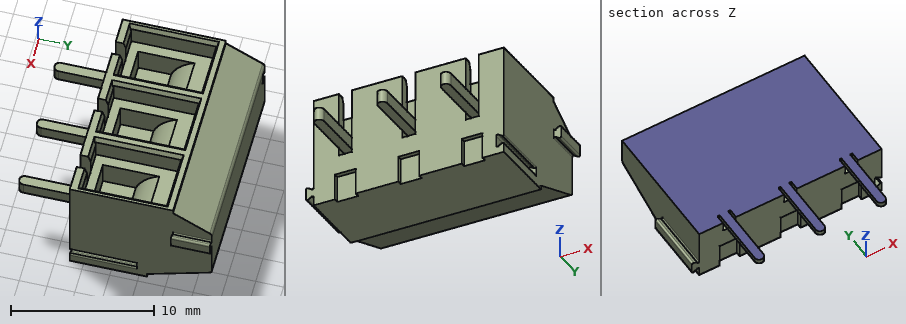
import cadquery as cq
import math


POLE_COUNT = 3
TAB_REACH = 0.6
LENGTH = 16.2 - 2 * TAB_REACH
PITCH = LENGTH / POLE_COUNT
DEPTH = 10.24
HEIGHT = 8.6
TOP_FLAT_DEPTH = 7.44
BASE_FLAT_DEPTH = 5.55
STEP_HEIGHT = 0.3
TOP_SLOPE_ANGLE = 30
BASE_SLOPE_ANGLE = 21
BACK_EDGE_RADIUS = 0.35

POCKET_WIDTH = 4.05
POCKET_FRONT = 0.75
POCKET_BACK = 6.82
POCKET_FLOOR = 6.87
SIDE_BEVEL_WIDTH = 0.26
SIDE_BEVEL_HEIGHT = 0.28
END_BEVEL_WIDTH = 0.18
END_BEVEL_HEIGHT = 0.52

PIN_WIDTH = 0.75
PIN_HEIGHT = 0.99
PIN_BOTTOM = 3.94
PIN_LENGTH = 4.26
SLOT_WIDTH = 1.04
SLOT_BOTTOM = 3.53
NOTCH_WIDTH = 1.64
NOTCH_HEIGHT = 2.04
NOTCH_DEPTH = 0.37

RECESS_WIDTH = 2.58
RECESS_FRONT = 1.43
RECESS_BACK = 5.49
RECESS_RADIUS = 3.3
RECESS_START_TILT = 26
RECESS_FLOOR = PIN_BOTTOM + PIN_HEIGHT

NECK_LENGTH = 0.13
NECK_HEIGHT = 0.58
FLARE_ANGLE = 32
TIP_RADIUS = 0.11
ROOT_RADIUS = 0.08
UPPER_JOINT_Z = 5.64
LOWER_JOINT_Z = 1.07
UPPER_JOINT_LENGTH = DEPTH - TOP_FLAT_DEPTH
LOWER_JOINT_LENGTH = 4.85


def rise(run, angle):
    return run * math.tan(math.radians(angle))


def block(width, y_start, y_end, z_start, z_end):
    """Box centred on X = 0 that spans the given Y and Z ranges."""
    size_y = y_end - y_start
    size_z = z_end - z_start
    box = cq.Workplane("XY").box(width, size_y, size_z, centered=(True, False, False))
    return box.translate((0, y_start, z_start))


def extrude_along_x(side_outline, width):
    """Extrude a closed (Y, Z) outline symmetrically about X = 0."""
    return side_outline.close().extrude(width / 2, both=True)


def make_housing():
    top_back_z = HEIGHT - STEP_HEIGHT - rise(DEPTH - TOP_FLAT_DEPTH, TOP_SLOPE_ANGLE)
    base_back_z = STEP_HEIGHT + rise(DEPTH - BASE_FLAT_DEPTH, BASE_SLOPE_ANGLE)
    outline = cq.Workplane("YZ").polyline([
        (0, 0),
        (BASE_FLAT_DEPTH, 0),
        (BASE_FLAT_DEPTH, STEP_HEIGHT),
        (DEPTH, base_back_z),
        (DEPTH, top_back_z),
        (TOP_FLAT_DEPTH, HEIGHT - STEP_HEIGHT),
        (TOP_FLAT_DEPTH, HEIGHT),
        (0, HEIGHT),
    ])
    body = extrude_along_x(outline, LENGTH)
    return body.faces(">Y").edges("|X").fillet(BACK_EDGE_RADIUS)


def bevelled_outline(plane, start, end, bevel_width, bevel_height):
    """Pocket section from floor to rim, widening at the rim by the bevel."""
    bevel_bottom = HEIGHT - bevel_height
    return cq.Workplane(plane).polyline([
        (start, POCKET_FLOOR),
        (end, POCKET_FLOOR),
        (end, bevel_bottom),
        (end + bevel_width, HEIGHT),
        (start - bevel_width, HEIGHT),
        (start, bevel_bottom),
    ]).close()


def make_pocket():
    half_width = POCKET_WIDTH / 2
    cross = bevelled_outline("XZ", -half_width, half_width, SIDE_BEVEL_WIDTH, SIDE_BEVEL_HEIGHT)
    along = bevelled_outline("YZ", POCKET_FRONT, POCKET_BACK, END_BEVEL_WIDTH, END_BEVEL_HEIGHT)
    return cross.extrude(DEPTH, both=True).intersect(along.extrude(PITCH / 2, both=True))


def make_recess():
    """Recess whose back wall curves down and ever more steeply from the pocket floor."""
    start_angle = math.radians(RECESS_START_TILT)
    axis_y = RECESS_BACK + RECESS_RADIUS * math.sin(start_angle)
    axis_z = POCKET_FLOOR - RECESS_RADIUS * math.cos(start_angle)
    end_angle = math.acos((RECESS_FLOOR - axis_z) / RECESS_RADIUS)

    def wall_point(angle):
        return axis_y - RECESS_RADIUS * math.sin(angle), axis_z + RECESS_RADIUS * math.cos(angle)

    outline = (
        cq.Workplane("YZ")
        .moveTo(RECESS_FRONT, POCKET_FLOOR)
        .lineTo(RECESS_BACK, POCKET_FLOOR)
        .threePointArc(wall_point((start_angle + end_angle) / 2), wall_point(end_angle))
        .lineTo(RECESS_FRONT, RECESS_FLOOR)
    )
    return extrude_along_x(outline, RECESS_WIDTH)


def make_pole_cut():
    slot = block(SLOT_WIDTH, 0, POCKET_FRONT, SLOT_BOTTOM, HEIGHT)
    notch = block(NOTCH_WIDTH, 0, NOTCH_DEPTH, 0, NOTCH_HEIGHT)
    return make_pocket().union(make_recess()).union(slot).union(notch)


def make_pin():
    """Pin from the back of its slot to a fully rounded tip."""
    pin = block(PIN_WIDTH, -PIN_LENGTH + PIN_WIDTH / 2, POCKET_FRONT, PIN_BOTTOM, PIN_BOTTOM + PIN_HEIGHT)
    tip = cq.Workplane("XY").circle(PIN_WIDTH / 2).extrude(PIN_HEIGHT)
    return pin.union(tip.translate((0, -PIN_LENGTH + PIN_WIDTH / 2, PIN_BOTTOM)))


def make_joint(direction, face_x, center_z, y_start, length):
    """Dovetail bar that starts on the plane X = face_x and points along direction (+1 or -1)."""
    half_neck = NECK_HEIGHT / 2
    half_head = half_neck + rise(TAB_REACH - NECK_LENGTH, FLARE_ANGLE)
    root_center_z = half_neck + ROOT_RADIUS
    root_mid_x = direction * ROOT_RADIUS * (1 - math.sqrt(0.5))
    root_mid_z = root_center_z - ROOT_RADIUS * math.sqrt(0.5)
    root_end_x = direction * ROOT_RADIUS
    neck_x = direction * NECK_LENGTH
    head_x = direction * TAB_REACH
    outline = (
        cq.Workplane("XZ")
        .moveTo(0, -root_center_z)
        .threePointArc((root_mid_x, -root_mid_z), (root_end_x, -half_neck))
        .lineTo(neck_x, -half_neck)
        .lineTo(head_x, -half_head)
        .lineTo(head_x, half_head)
        .lineTo(neck_x, half_neck)
        .lineTo(root_end_x, half_neck)
        .threePointArc((root_mid_x, root_mid_z), (0, root_center_z))
        .close()
    )
    bar = outline.extrude(-length)
    tip_face = ">X" if direction > 0 else "<X"
    bar = bar.faces(tip_face).edges("|Y").fillet(TIP_RADIUS)
    return bar.translate((face_x, y_start, center_z))


left_x = -LENGTH / 2
right_x = LENGTH / 2
upper_joint_y = DEPTH - UPPER_JOINT_LENGTH

result = make_housing()

result = result.cut(make_joint(1, left_x, UPPER_JOINT_Z, upper_joint_y, UPPER_JOINT_LENGTH))
result = result.cut(make_joint(-1, right_x, LOWER_JOINT_Z, 0, LOWER_JOINT_LENGTH))

pole_cut = make_pole_cut()
pin = make_pin()
for index in range(POLE_COUNT):
    pole_x = (index - (POLE_COUNT - 1) / 2) * PITCH
    result = result.cut(pole_cut.translate((pole_x, 0, 0))).union(pin.translate((pole_x, 0, 0)))

result = result.union(make_joint(-1, left_x, LOWER_JOINT_Z, 0, LOWER_JOINT_LENGTH))
result = result.union(make_joint(1, right_x, UPPER_JOINT_Z, upper_joint_y, UPPER_JOINT_LENGTH))